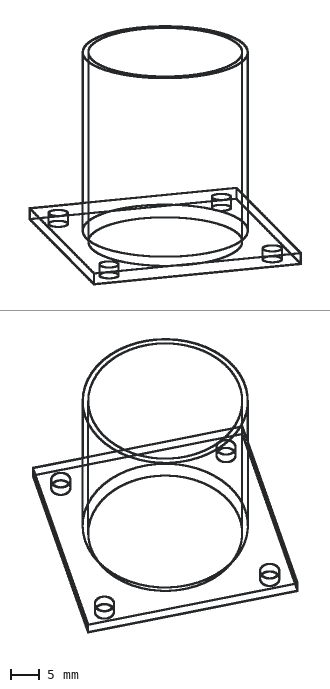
import cadquery as cq

flange_side = 38.0
flange_thickness = 2.0

total_height = 35.0
tube_diameter = 29.0
bore_diameter = 27.0

hole_diameter = 3.4
hole_spacing = 30.0


def make_flange():
    """Square plate resting on Z = 0 with four mounting holes."""
    plate = cq.Workplane("XY").rect(flange_side, flange_side).extrude(flange_thickness)
    return (
        plate.faces(">Z")
        .workplane()
        .rect(hole_spacing, hole_spacing, forConstruction=True)
        .vertices()
        .hole(hole_diameter)
    )


def make_cylinder(diameter):
    """Full-height cylinder on the part's vertical axis."""
    return cq.Workplane("XY").circle(diameter / 2).extrude(total_height)


result = make_flange().union(make_cylinder(tube_diameter)).cut(make_cylinder(bore_diameter))